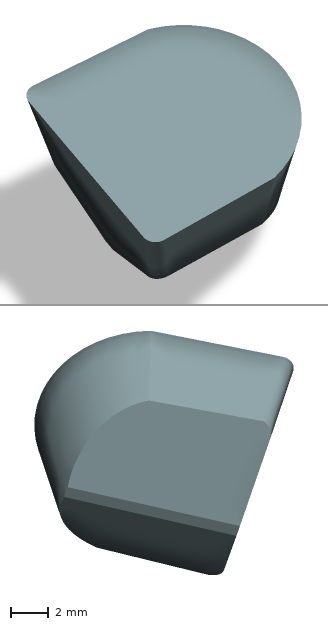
import cadquery as cq
import math

width = 12.7
depth = 12.67
height = 7.75
shoulder_half_width = 6.11
shoulder_y = 8.12
side_corner_half_width = 6.38
corner_radius = 0.8

draft_angle = 11.0
keel_angle = 30.0
keel_half_width = 0.34


def drafted_body():
    """Outline tapered downward from the top face, with rounded front corners."""
    outline = (
        cq.Workplane("XY", origin=(0, 0, height))
        .moveTo(-side_corner_half_width, 0)
        .lineTo(side_corner_half_width, 0)
        .lineTo(shoulder_half_width, shoulder_y)
        .threePointArc((0, depth), (-shoulder_half_width, shoulder_y))
        .close()
    )
    body = outline.extrude(-height, taper=draft_angle)
    front_corners = cq.selectors.BoxSelector(
        (-width, 0, height / 4), (width, shoulder_y / 2, height * 3 / 4)
    )
    return body.edges(front_corners).fillet(corner_radius)


def keel_envelope():
    """Long prism with a V-shaped underside and a narrow flat at the bottom."""
    slope_rise = (width - keel_half_width) * math.tan(math.radians(keel_angle))
    return (
        cq.Workplane("XZ")
        .polyline([
            (-keel_half_width, 0),
            (keel_half_width, 0),
            (width, slope_rise),
            (width, height + slope_rise),
            (-width, height + slope_rise),
            (-width, slope_rise),
        ])
        .close()
        .extrude(-depth)
    )


result = drafted_body().intersect(keel_envelope())